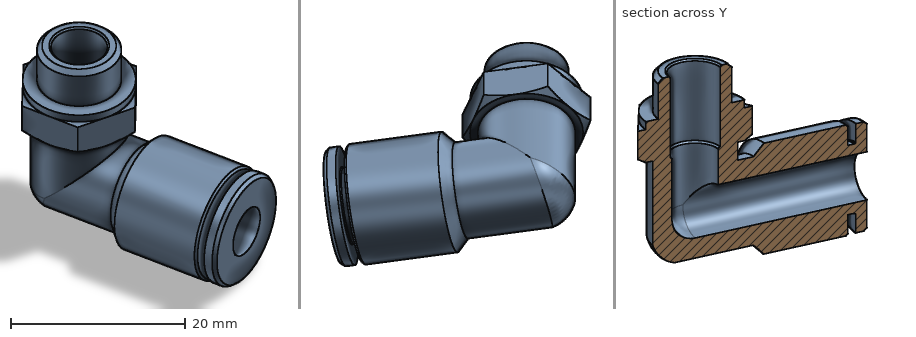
import cadquery as cq
import math


body_radius = 11.2 / 2
bend_offset = 1.45
bend_start = 17.0
bend_sweep = 90 - 2 * bend_start

stud_top = 18.0
stud_radius = 4.85
stud_chamfer = 0.6
hex_corner_diameter = 15.0
hex_flat_width = hex_corner_diameter * math.cos(math.radians(30))
washer_radius = hex_flat_width / 2
washer_top = 13.0
hex_top = 12.0
hex_bottom = 7.8
hex_bevel_radius = hex_flat_width / 2
hex_bevel_height = 0.6

collar_radius = 14.0 / 2
collar_start = 7.62
collar_cone_end = 9.0
collar_end = 20.02
collar_chamfer = 0.27
neck_radius = 8.8 / 2
flare_length = 0.18
flare_rise = 0.12
ring_radius = 6.9
ring_start = 21.0
ring_end = 22.5
ring_chamfer_length = 0.45
ring_chamfer_depth = 0.35

passage_radius = 3.0
stud_bore_radius = 3.25
stud_bore_bottom = 7.8
mouth_chamfer = 0.2


def z_cylinder(radius, bottom, top):
    return cq.Workplane("XY").workplane(offset=bottom).circle(radius).extrude(top - bottom)


def x_cylinder(radius, start, end):
    return cq.Workplane("YZ").workplane(offset=start).circle(radius).extrude(end - start)


def elbow_leg():
    """Upright leg, cut by the mitre plane and by the start of the bend."""
    reach = 2 * body_radius
    drop = (reach - bend_offset) * math.tan(math.radians(bend_start))
    keep = (
        cq.Workplane("XZ")
        .moveTo(-bend_offset, -bend_offset)
        .lineTo(reach, reach)
        .lineTo(-reach, reach)
        .lineTo(-reach, -bend_offset - drop)
        .close()
        .extrude(reach, both=True)
    )
    return z_cylinder(body_radius, -reach, hex_bottom).intersect(keep)


def elbow_bend():
    """Outer corner: the oblique section of the leg turned about the bend's pivot."""
    tilt = math.radians(bend_start)
    half_width = math.sqrt(body_radius**2 - bend_offset**2)
    arc_limit = math.degrees(math.acos(bend_offset / body_radius))
    section_plane = cq.Plane(
        origin=(-bend_offset, 0, -bend_offset),
        xDir=(-math.cos(tilt), 0, -math.sin(tilt)),
        normal=(-math.sin(tilt), 0, math.cos(tilt)),
    )
    return (
        cq.Workplane(section_plane)
        .moveTo(0, -half_width)
        .ellipseArc(body_radius / math.cos(tilt), body_radius, -arc_limit, arc_limit, startAtCurrent=True)
        .close()
        .revolve(bend_sweep, (0, 0), (0, 1))
    )


def hexagon():
    blank = (
        cq.Workplane("XY")
        .workplane(offset=hex_bottom)
        .polygon(6, hex_corner_diameter)
        .extrude(hex_top - hex_bottom)
    )
    bevel = (
        cq.Workplane("XZ")
        .moveTo(0, hex_bottom)
        .lineTo(hex_bevel_radius, hex_bottom)
        .lineTo(hex_corner_diameter / 2, hex_bottom + hex_bevel_height)
        .lineTo(hex_corner_diameter / 2, hex_top)
        .lineTo(0, hex_top)
        .close()
        .revolve(360, (0, 0), (0, 1))
    )
    return blank.intersect(bevel)


def stud():
    washer = z_cylinder(washer_radius, hex_top, washer_top)
    shank = z_cylinder(stud_radius, washer_top, stud_top).faces(">Z").chamfer(stud_chamfer)
    return washer.union(shank)


def socket():
    collar = (
        cq.Workplane("XZ")
        .moveTo(collar_start, 0)
        .lineTo(collar_start, body_radius)
        .lineTo(collar_cone_end, collar_radius)
        .lineTo(collar_end, collar_radius)
        .lineTo(collar_end, 0)
        .close()
        .revolve(360, (0, 0), (1, 0))
        .faces(">X")
        .chamfer(collar_chamfer)
    )
    release_ring = (
        cq.Workplane("XZ")
        .moveTo(collar_end, 0)
        .lineTo(collar_end, neck_radius)
        .lineTo(ring_start - flare_length, neck_radius)
        .lineTo(ring_start, neck_radius + flare_rise)
        .lineTo(ring_start, ring_radius)
        .lineTo(ring_end - ring_chamfer_length, ring_radius)
        .lineTo(ring_end, ring_radius - ring_chamfer_depth)
        .lineTo(ring_end, 0)
        .close()
        .revolve(360, (0, 0), (1, 0))
    )
    return collar.union(release_ring)


def passage():
    upright = z_cylinder(passage_radius, 0, stud_top)
    level = x_cylinder(passage_radius, 0, ring_end)
    corner = cq.Workplane("XY").sphere(passage_radius)
    step_depth = stud_bore_radius - passage_radius
    bore = (
        cq.Workplane("XZ")
        .moveTo(0, stud_bore_bottom - step_depth)
        .lineTo(passage_radius, stud_bore_bottom - step_depth)
        .lineTo(stud_bore_radius, stud_bore_bottom)
        .lineTo(stud_bore_radius, stud_top - mouth_chamfer)
        .lineTo(stud_bore_radius + mouth_chamfer, stud_top)
        .lineTo(0, stud_top)
        .close()
        .revolve(360, (0, 0), (0, 1))
    )
    return upright.union(level).union(corner).union(bore)


upright_leg = elbow_leg()
level_leg = upright_leg.rotate((0, 0, 0), (1, 0, 1), 180)
elbow = upright_leg.union(level_leg).union(elbow_bend())
result = elbow.union(hexagon()).union(stud()).union(socket()).cut(passage())